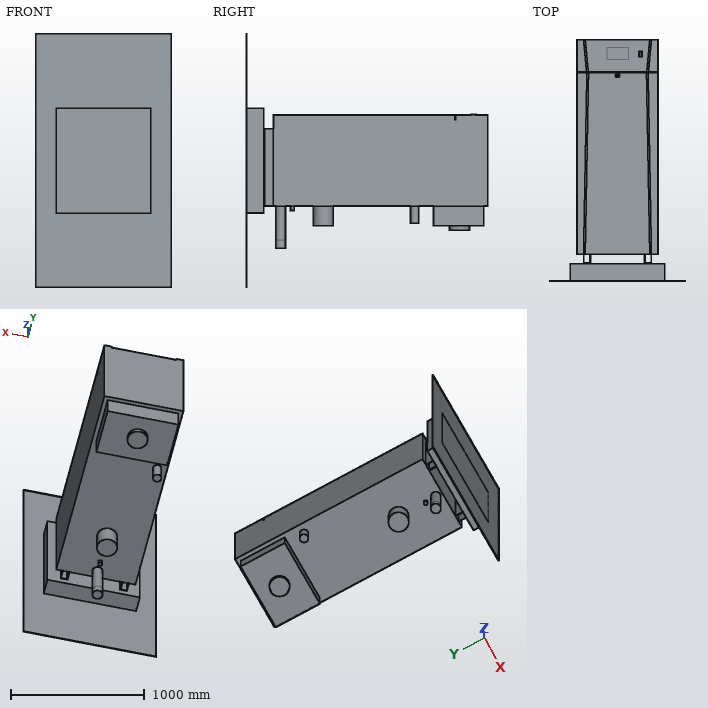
import cadquery as cq

PLATE_X, PLATE_Z, PLATE_THICKNESS = 1018.0, 1898, 5.0

PLATFORM_X, PLATFORM_Z, PLATFORM_TOP = 710.0, 785.0, 133.0

CABINET_X, CABINET_Z = 607.0, 683.0
CABINET_BASE = 203.0
CABINET_TOP = 1810.0
FRONT = CABINET_Z / 2
BACK = -CABINET_Z / 2

PANEL_DEPTH = 13.0
PANEL_SLOPE_WIDTH = PANEL_DEPTH
PANEL_FLOOR = FRONT - PANEL_DEPTH
PANEL_END_HALF_WIDTH = 255.0
PANEL_WAIST_HALF_WIDTH = 230.0
PANEL_WAIST_Y = 1547.0

SEAM_Y, SEAM_WIDTH, SEAM_DEPTH, SEAM_CLEARANCE = 1565.0, 5.0, 38.0, 2.0
BACK_OF_SEAM = FRONT - SEAM_DEPTH

CHANNEL_OUTER_X, CHANNEL_INNER_X = 255.0, 201.0
CHANNEL_FRONT = 240.0
WALL_THICKNESS = 5.0
LIP_THICKNESS = 2.0

DISPLAY_X, DISPLAY_HEIGHT, DISPLAY_THICKNESS, DISPLAY_Y = 160.0, 90.0, 5.0, 1707.0
LOCK_Y, LOCK_RADIUS, LOCK_BORE_RADIUS, LOCK_HEIGHT = 1542.0, 15.0, 10.0, 5.0
SWITCH_CENTRE_X, SWITCH_CENTRE_Y = 170.0, 1703.0
SWITCH_X, SWITCH_Y = 27.0, 42.0
SWITCH_FRONT = FRONT + 5.0
SWITCH_SLOT_X, SWITCH_SLOT_Y, SWITCH_SLOT_DEPTH = 13.0, 36.0, 13.0

BOX_X, BOX_BASE, BOX_TOP, BOX_DEPTH = 543.0, 1401.0, 1779.0, 148.0
SPIGOT_Y, SPIGOT_RADIUS, SPIGOT_LENGTH = 1597.0, 75.0, 32.0

CONNECTIONS = [
    (-228.0, 1260.0, 32.0, 130.0),
    (0, 577.0, 75.0, 148.0),
    (0, 345.0, 15.0, 32.0),
    (0, 258.0, 38.0, 250.0),
]
PIPE_CAP_LENGTH = 65.0


def block(x_range, y_range, z_range):
    """Box between the given limits along each axis."""
    (x0, x1), (y0, y1), (z0, z1) = x_range, y_range, z_range
    return cq.Workplane("XY").box(x1 - x0, y1 - y0, z1 - z0, centered=False).translate((x0, y0, z0))


def centred(length):
    return (-length / 2, length / 2)


def back_cylinder(x, y, radius, length, start=BACK):
    """Cylinder that runs in -Z from the plane z = start."""
    return cq.Workplane("XY", origin=(x, y, start)).circle(radius).extrude(-length)


def panel_outline(inset, z):
    """Closed waisted wire of the sunken panel at height z, narrowed by inset on each side."""
    end = PANEL_END_HALF_WIDTH - inset
    waist = PANEL_WAIST_HALF_WIDTH - inset
    right = [(end, CABINET_BASE, z), (waist, PANEL_WAIST_Y, z), (end, CABINET_TOP, z)]
    left = [(-x, y, z) for x, y, z in reversed(right)]
    return cq.Wire.makePolygon([cq.Vector(*p) for p in right + left], close=True)


def sunken_panel():
    floor = panel_outline(PANEL_SLOPE_WIDTH, PANEL_FLOOR)
    rim = panel_outline(0, FRONT)
    return cq.Workplane(cq.Solid.makeLoft([floor, rim], True))


def seam(x_range, front):
    """Narrow slot across the given x range, cut back from the plane z = front."""
    return block(
        x_range,
        (SEAM_Y - SEAM_WIDTH / 2, SEAM_Y + SEAM_WIDTH / 2),
        (BACK_OF_SEAM, front),
    )


def cabinet():
    body = block(centred(CABINET_X), (CABINET_BASE, CABINET_TOP), (BACK, FRONT))
    body = body.cut(sunken_panel())
    side_seam_start = PANEL_WAIST_HALF_WIDTH + SEAM_CLEARANCE
    floor_seam_end = PANEL_WAIST_HALF_WIDTH - PANEL_SLOPE_WIDTH - SEAM_CLEARANCE
    body = body.cut(seam((-floor_seam_end, floor_seam_end), PANEL_FLOOR))
    body = body.cut(seam((side_seam_start, CABINET_X / 2), FRONT))
    return body.cut(seam((-CABINET_X / 2, -side_seam_start), FRONT))


def front_fittings():
    """Flush display, with the lock ring and the slotted switch standing on the panel floor."""
    display = block(
        centred(DISPLAY_X),
        (DISPLAY_Y - DISPLAY_HEIGHT / 2, DISPLAY_Y + DISPLAY_HEIGHT / 2),
        (PANEL_FLOOR - DISPLAY_THICKNESS, PANEL_FLOOR),
    )
    lock = (
        cq.Workplane("XY", origin=(0, LOCK_Y, PANEL_FLOOR))
        .circle(LOCK_RADIUS)
        .circle(LOCK_BORE_RADIUS)
        .extrude(LOCK_HEIGHT)
    )
    switch = (
        cq.Workplane("XY", origin=(SWITCH_CENTRE_X, SWITCH_CENTRE_Y, PANEL_FLOOR))
        .rect(SWITCH_X, SWITCH_Y)
        .extrude(SWITCH_FRONT - PANEL_FLOOR)
        .faces(">Z")
        .workplane()
        .center(0, (SWITCH_SLOT_Y - SWITCH_Y) / 2)
        .rect(SWITCH_SLOT_X, SWITCH_SLOT_Y)
        .cutBlind(-SWITCH_SLOT_DEPTH)
    )
    return [display, lock, switch]


def base_channel(side):
    """Open channel under one side of the cabinet; side is -1 for left and 1 for right."""
    web_y = PLATFORM_TOP + WALL_THICKNESS

    def wall(x_near, x_far, y_range):
        return block(sorted((side * x_near, side * x_far)), y_range, (BACK, CHANNEL_FRONT))

    full_height = (PLATFORM_TOP, CABINET_BASE)
    inner = wall(CHANNEL_INNER_X, CHANNEL_INNER_X + WALL_THICKNESS, full_height)
    outer = wall(CHANNEL_OUTER_X - LIP_THICKNESS, CHANNEL_OUTER_X, full_height)
    web = wall(CHANNEL_INNER_X, CHANNEL_OUTER_X, (PLATFORM_TOP, web_y))
    return inner.union(web).union(outer)


def back_fittings():
    box = block(centred(BOX_X), (BOX_BASE, BOX_TOP), (BACK - BOX_DEPTH, BACK))
    spigot = back_cylinder(0, SPIGOT_Y, SPIGOT_RADIUS, SPIGOT_LENGTH, BACK - BOX_DEPTH)
    connections = [back_cylinder(*connection) for connection in CONNECTIONS]
    x, y, radius, length = CONNECTIONS[-1]
    cap = back_cylinder(x, y, radius, PIPE_CAP_LENGTH, BACK - length)
    return [box, spigot, *connections, cap]


floor_plate = block(centred(PLATE_X), (0, PLATE_THICKNESS), centred(PLATE_Z))
platform = block(centred(PLATFORM_X), (PLATE_THICKNESS, PLATFORM_TOP), centred(PLATFORM_Z))

parts = [platform, base_channel(-1), base_channel(1), cabinet(), *back_fittings(), *front_fittings()]

result = floor_plate
for part in parts:
    result = result.union(part, clean=False)